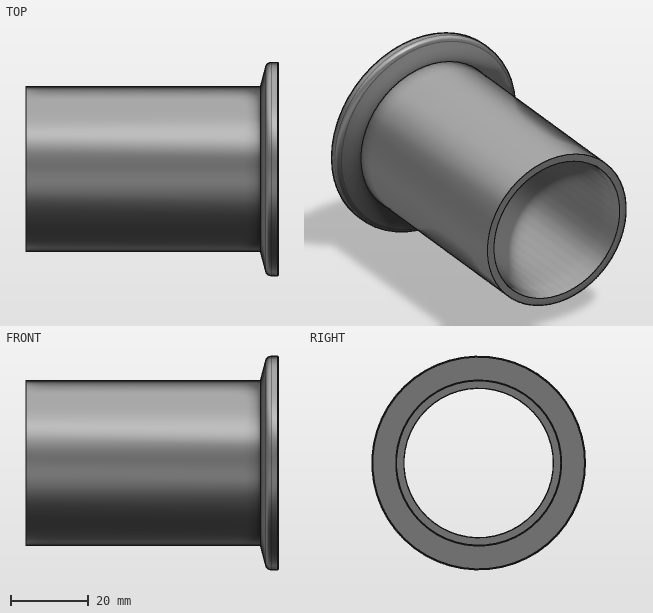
import cadquery as cq
import math

overall_length = 65.0
tube_outer_radius = 42.4 / 2
tube_wall = 2.0
fit_clearance = 0.1
flange_radius = 55.0 / 2
rim_thickness = 3.0
rim_fillet = 1.5
face_chamfer = 0.25
back_slope = math.radians(15)

bore_radius = tube_outer_radius + fit_clearance
fillet_sweep = math.pi / 2 - back_slope
fillet_setback = rim_fillet * math.tan(fillet_sweep / 2)
fillet_start_x = overall_length - rim_thickness + fillet_setback
fillet_centre_radius = flange_radius - rim_fillet


def fillet_point(angle):
    """Point on the rim fillet, the angle measured from the rim towards the back."""
    return (
        fillet_start_x - rim_fillet * math.sin(angle),
        fillet_centre_radius + rim_fillet * math.cos(angle),
    )


back_tangent_x, back_tangent_radius = fillet_point(fillet_sweep)
back_start_x = back_tangent_x - (back_tangent_radius - bore_radius) * math.tan(back_slope)


def make_tube():
    """Plain tube running the full length, through the flange."""
    return (
        cq.Workplane("YZ")
        .circle(tube_outer_radius)
        .circle(tube_outer_radius - tube_wall)
        .extrude(overall_length)
    )


def make_flange():
    """Clamp flange ring with a clearance bore around the end of the tube."""
    return (
        cq.Workplane("XY")
        .moveTo(back_start_x, bore_radius)
        .lineTo(back_tangent_x, back_tangent_radius)
        .threePointArc(fillet_point(fillet_sweep / 2), fillet_point(0))
        .lineTo(overall_length - face_chamfer, flange_radius)
        .lineTo(overall_length, flange_radius - face_chamfer)
        .lineTo(overall_length, bore_radius)
        .close()
        .revolve(360, (0, 0, 0), (1, 0, 0))
    )


tube = make_tube()
flange = make_flange()

result = cq.Compound.makeCompound([tube.val(), flange.val()])